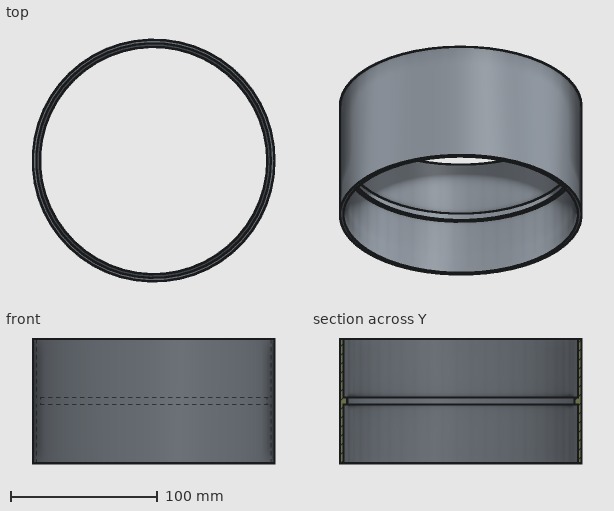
import cadquery as cq

outer_diameter = 165.0
socket_diameter = 160.0
stop_diameter = 155.0
length = 85.0
stop_width = 5.0

socket_depth = (length - stop_width) / 2


def tube(outer, inner, height, base_z):
    """Tube standing on base_z, centred on the Z axis."""
    return (
        cq.Workplane("XY", origin=(0, 0, base_z))
        .circle(outer / 2)
        .circle(inner / 2)
        .extrude(height)
    )


sleeve = tube(outer_diameter, socket_diameter, length, 0)

stop_ring = tube(outer_diameter, stop_diameter, stop_width, socket_depth)

result = sleeve.union(stop_ring)